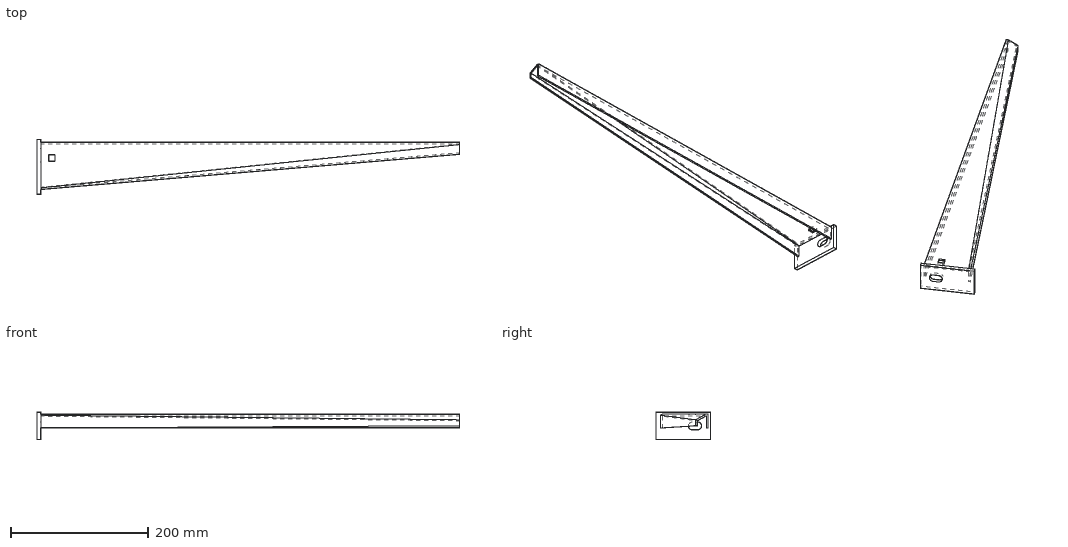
import cadquery as cq
import math

plate_thickness = 6.0
plate_width = 80.0
plate_height = 40.0
slot_length = 19.0
slot_height = 11.0
slot_center_y = 17.0

overall_length = 616.05
sheet = 2.5
arm_height = 20.0
arm_top_z = plate_height / 2 - 3.0
arm_bottom_z = arm_top_z - arm_height
back_y = plate_width / 2 - 4.0
bevel_angle = math.radians(29.5)

root_fold_y = -30.5
tip_fold_y = 32.5
root_front_y = -33.0
tip_front_y = 18.2
tip_flange_lift = 3.2

web_hole_side = 9.0
web_hole_x = plate_thickness + 16.0
web_hole_y = 13.0


def make_plate():
    plate = cq.Workplane("XY").box(
        plate_thickness, plate_width, plate_height, centered=(False, True, True)
    )
    slot = (
        cq.Workplane("YZ")
        .center(slot_center_y, 0)
        .slot2D(slot_length, slot_height)
        .extrude(plate_thickness)
    )
    return plate.cut(slot)


def arm_section(fold_y, front_y, front_bottom_z):
    """Closed (y, z) outline of the folded sheet at one end of the arm."""
    front_top_z = arm_top_z - (fold_y - front_y) * math.tan(bevel_angle)
    inner_fold_shift = sheet * math.tan(bevel_angle / 2)
    inner_front_drop = sheet * math.tan((math.pi / 2 - bevel_angle) / 2)
    return [
        (back_y, arm_bottom_z),
        (back_y, arm_top_z),
        (fold_y, arm_top_z),
        (front_y, front_top_z),
        (front_y, front_bottom_z),
        (front_y + sheet, front_bottom_z),
        (front_y + sheet, front_top_z - inner_front_drop),
        (fold_y + inner_fold_shift, arm_top_z - sheet),
        (back_y - sheet, arm_top_z - sheet),
        (back_y - sheet, arm_bottom_z),
    ]


def make_arm():
    root = arm_section(root_fold_y, root_front_y, arm_bottom_z)
    tip = arm_section(tip_fold_y, tip_front_y, arm_bottom_z + tip_flange_lift)
    channel = (
        cq.Workplane("YZ", origin=(plate_thickness, 0, 0))
        .polyline(root)
        .close()
        .workplane(offset=overall_length - plate_thickness)
        .polyline(tip)
        .close()
        .loft(ruled=True)
    )
    web_hole = (
        cq.Workplane("XY", origin=(web_hole_x, web_hole_y, arm_top_z - sheet))
        .rect(web_hole_side, web_hole_side)
        .extrude(sheet)
    )
    return channel.cut(web_hole)


plate = make_plate()
arm = make_arm()

result = cq.Compound.makeCompound([plate.val(), arm.val()])